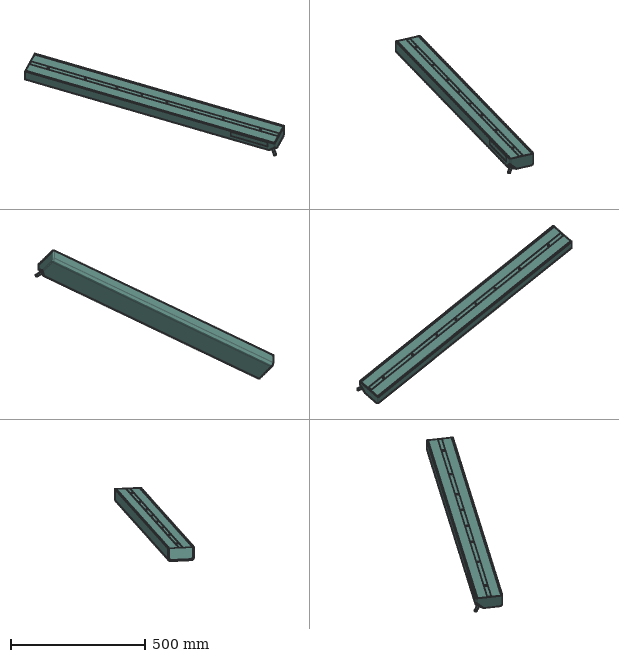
import cadquery as cq
import math

total_length = 1009.0
cable_overhang = 8.0
length = total_length - cable_overhang
width = 100.0
height = 50.0
bottom_radius = 12.0
end_round = 4.0

wall = 5.5
seam_step = 0.3
end_cap = 2.5
channel_length = length - end_cap

groove_width = 15.0
groove_depth = 0.5
hole_depth = 5.0
end_notch_depth = 0.3
small_hole = 4.9
large_hole = 6.6
small_hole_offsets = (50.0, 150.0, 276.0)
large_hole_offset = 426.0

label_length = 147.0
label_height = 22.0
label_end_gap = 28.0
label_top_gap = 3.0
label_depth = 0.3

bevel_leg = 31.0
cable_diameter = 9.0
bevel_depth = bevel_leg / math.sqrt(3)

corner = cq.Vector(length, -width / 2, 0)
outward = cq.Vector(1, -1, -1).normalized()


def channel_section(inset):
    """Profile in the YZ plane: square at the top, rounded along the bottom edges."""
    half = width / 2 - inset
    radius = bottom_radius - inset
    bend = radius * math.sin(math.radians(45))
    low_center_y = half - radius
    low_center_z = inset + radius
    return (
        cq.Workplane("YZ")
        .moveTo(-half, height)
        .lineTo(-half, low_center_z)
        .threePointArc((-low_center_y - bend, low_center_z - bend), (-low_center_y, inset))
        .lineTo(low_center_y, inset)
        .threePointArc((low_center_y + bend, low_center_z - bend), (half, low_center_z))
        .lineTo(half, height)
        .close()
    )


def box(x_min, x_max, y_size, z_min, z_max):
    """Box centred on Y = 0."""
    return cq.Workplane("XY").box(
        x_max - x_min, y_size, z_max - z_min, centered=(False, True, False)
    ).translate((x_min, 0, z_min))


def housing():
    """Bar with its +X end rounded along the sides and bottom, but sharp at the top."""
    bar = channel_section(0).extrude(length)
    rim = bar.faces(">X").edges("not >Z")
    return rim.fillet(end_round)


def enclosed_body_steps():
    """Material removed so the enclosed body sits just below the wall edges."""
    top_step = box(0, channel_length, width - 2 * wall, height - seam_step, height)
    end_step = channel_section(wall).extrude(seam_step)
    return top_step.union(end_step)


def groove_and_holes():
    """Top groove, the holes in its floor and a shallow half-round notch at each end."""
    groove_floor = height - seam_step - groove_depth
    groove = box(0, channel_length, groove_width, groove_floor, height)
    middle = channel_length / 2

    def mirrored_holes(offset, diameter, depth):
        return (
            cq.Workplane("XY", origin=(middle, 0, groove_floor - depth))
            .pushPoints([(-offset, 0), (offset, 0)])
            .circle(diameter / 2)
            .extrude(depth)
        )

    cut = groove.union(mirrored_holes(large_hole_offset, large_hole, hole_depth))
    for offset in small_hole_offsets:
        cut = cut.union(mirrored_holes(offset, small_hole, hole_depth))
    cut = cut.union(mirrored_holes(middle, large_hole, end_notch_depth))
    return cut.intersect(box(0, channel_length, width, 0, height))


def label_recess():
    """Shallow rectangular recess near the +X end of the -Y side."""
    x_min = length - label_end_gap - label_length
    z_max = height - label_top_gap
    recess = box(x_min, x_min + label_length, 2 * label_depth, z_max - label_height, z_max)
    return recess.translate((0, -width / 2, 0))


def corner_plane(distance):
    """Plane facing diagonally outward, at a distance from the lower corner along the cable."""
    return cq.Plane(origin=(corner + outward * distance).toTuple(), normal=outward.toTuple())


def corner_block(depth):
    """Block covering everything outside the diagonal plane this deep under the corner."""
    side = 3 * bevel_leg
    return cq.Workplane(corner_plane(-depth)).rect(side, side).extrude(bevel_leg)


def bevel_cut():
    """Bevel through the walls, with the enclosed body it bares set a step lower."""
    enclosed_body = channel_section(wall).extrude(channel_length)
    lower_step = corner_block(bevel_depth + seam_step).intersect(enclosed_body)
    return corner_block(bevel_depth).union(lower_step)


def cable():
    """Square-cut cable stub leaving the bevel along the corner diagonal."""
    tip_reach = cable_diameter / 2 * math.sqrt(2 / 3)
    tip_distance = (cable_overhang - tip_reach) * math.sqrt(3)
    root_depth = bevel_depth + cable_diameter
    return (
        cq.Workplane(corner_plane(-root_depth))
        .circle(cable_diameter / 2)
        .extrude(root_depth + tip_distance)
    )


result = (
    housing()
    .cut(enclosed_body_steps())
    .cut(groove_and_holes())
    .cut(label_recess())
    .cut(bevel_cut())
    .union(cable())
)